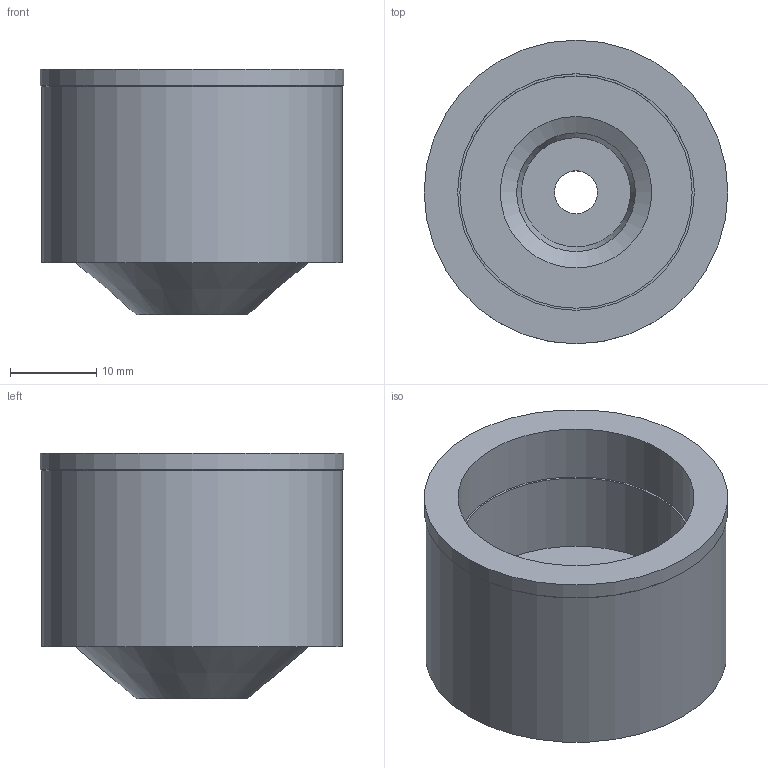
import cadquery as cq
import math

body_diameter = 35.0
lower_bore_diameter = 27.0
cone_top_diameter = lower_bore_diameter
cone_tip_diameter = 13.0
recess_mouth_diameter = 17.6
recess_waist_diameter = 13.8
recess_floor_diameter = 12.7
outlet_diameter = 5.0

rim_overhang = 0.15
rim_diameter = body_diameter + 2 * rim_overhang

ledge_width = 0.25
upper_bore_diameter = lower_bore_diameter + 2 * ledge_width

total_height = 28.5
cone_height = 6.0
rim_height = 2.0
upper_bore_depth = 6.8
bore_depth = 16.5
recess_mouth_slope = math.radians(30)
recess_mouth_depth = (recess_mouth_diameter - recess_waist_diameter) / 2 * math.tan(recess_mouth_slope)
recess_lower_depth = 1.5

rim_underside_z = total_height - rim_height
ledge_z = total_height - upper_bore_depth
bore_floor_z = total_height - bore_depth
recess_waist_z = bore_floor_z - recess_mouth_depth
recess_floor_z = recess_waist_z - recess_lower_depth

outer_corners = [
    (outlet_diameter, 0),
    (cone_tip_diameter, 0),
    (cone_top_diameter, cone_height),
    (body_diameter, cone_height),
    (body_diameter, rim_underside_z),
    (rim_diameter, rim_underside_z + rim_overhang),
    (rim_diameter, total_height),
]
inner_corners = [
    (upper_bore_diameter, total_height),
    (upper_bore_diameter, ledge_z),
    (lower_bore_diameter, ledge_z),
    (lower_bore_diameter, bore_floor_z),
    (recess_mouth_diameter, bore_floor_z),
    (recess_waist_diameter, recess_waist_z),
    (recess_floor_diameter, recess_floor_z),
    (outlet_diameter, recess_floor_z),
]


def half_section(corners):
    """Turn (diameter, height) corners into (radius, height) points."""
    return [(diameter / 2, height) for diameter, height in corners]


profile = cq.Workplane("YZ").polyline(half_section(outer_corners + inner_corners)).close()
result = profile.revolve(360, (0, 0), (0, 1))